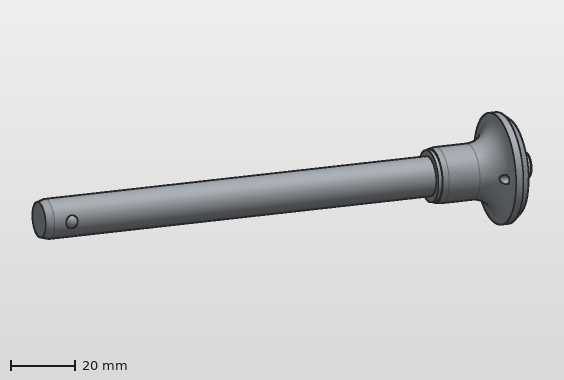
import cadquery as cq
import math

length = 163.8
tip_y = -length / 2
button_end_y = length / 2

disc_face_depth = 5.7
disc_rim_depth = 8.4
disc_back_depth = 10.8
collar_taper_depth = 29.8
collar_end_depth = 31.8
shoulder_depth = 33.1

button_radius = 4.3
button_chamfer = 0.5
disc_radius = 17.5
disc_face_radius = 15.4
collar_radius = 8.8
flare_arc_radius = disc_radius - collar_radius
flare_end_depth = disc_back_depth + flare_arc_radius
collar_end_radius = 8.5
shoulder_radius = 8.2
shank_diameter = 12.6
shank_radius = shank_diameter / 2
tip_radius = 5.5
tip_taper_length = 2.6

ball_radius = 2.3
ball_reach = 7.4
ball_tip_distance = 8.5

lanyard_hole_diameter = 3.0
lanyard_hole_x = 12.5


def from_button_end(depth):
    """Y position at a depth below the button end."""
    return button_end_y - depth


def flare_midpoint():
    """Middle of the quarter-circle flare from the collar to the disc rim."""
    x = collar_radius + flare_arc_radius * (1 - math.cos(math.pi / 4))
    y = from_button_end(flare_end_depth) + flare_arc_radius * math.sin(math.pi / 4)
    return x, y


def turned_body():
    """Button, handle and shank as one revolved half profile."""
    profile = (
        cq.Workplane("XY")
        .moveTo(0, tip_y)
        .lineTo(tip_radius, tip_y)
        .lineTo(shank_radius, tip_y + tip_taper_length)
        .lineTo(shank_radius, from_button_end(shoulder_depth))
        .lineTo(shoulder_radius, from_button_end(shoulder_depth))
        .lineTo(shoulder_radius, from_button_end(collar_end_depth))
        .lineTo(collar_end_radius, from_button_end(collar_end_depth))
        .lineTo(collar_radius, from_button_end(collar_taper_depth))
        .lineTo(collar_radius, from_button_end(flare_end_depth))
        .threePointArc(flare_midpoint(), (disc_radius, from_button_end(disc_back_depth)))
        .lineTo(disc_radius, from_button_end(disc_rim_depth))
        .lineTo(disc_face_radius, from_button_end(disc_face_depth))
        .lineTo(button_radius, from_button_end(disc_face_depth))
        .lineTo(button_radius, from_button_end(button_chamfer))
        .lineTo(button_radius - button_chamfer, button_end_y)
        .lineTo(0, button_end_y)
        .close()
    )
    return profile.revolve(360, (0, 0, 0), (0, 1, 0))


def locking_ball(side):
    """Ball protruding from the shank on the +X (1) or -X (-1) side."""
    center = (side * (ball_reach - ball_radius), tip_y + ball_tip_distance, 0)
    return cq.Workplane("XY").sphere(ball_radius).translate(center)


def lanyard_hole():
    """Hole through the disc, parallel to the pin axis."""
    handle_length = shoulder_depth - disc_face_depth
    return (
        cq.Workplane("XZ", origin=(lanyard_hole_x, from_button_end(disc_face_depth), 0))
        .circle(lanyard_hole_diameter / 2)
        .extrude(handle_length)
    )


result = turned_body()
for side in (-1, 1):
    result = result.union(locking_ball(side))
result = result.cut(lanyard_hole())